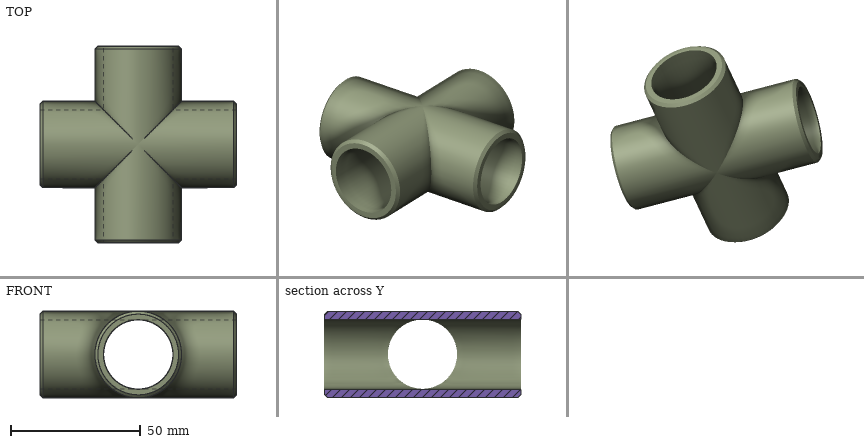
import cadquery as cq

SPAN = 76.2
OUTER_DIAMETER = 33.53
BORE_DIAMETER = 26.8
END_BEVEL = 1.14


def bar_along_x(diameter):
    """Solid cylinder centred on the origin, spanning the whole cross along X."""
    return cq.Workplane("YZ").circle(diameter / 2).extrude(SPAN / 2, both=True)


def cross(bar):
    """Join a bar along X with its copy turned along Y."""
    return bar.union(bar.rotate((0, 0, 0), (0, 0, 1), 90))


outer_bar = bar_along_x(OUTER_DIAMETER).faces("<X or >X").edges().chamfer(END_BEVEL)
bore_bar = bar_along_x(BORE_DIAMETER)

result = cross(outer_bar).cut(cross(bore_bar))